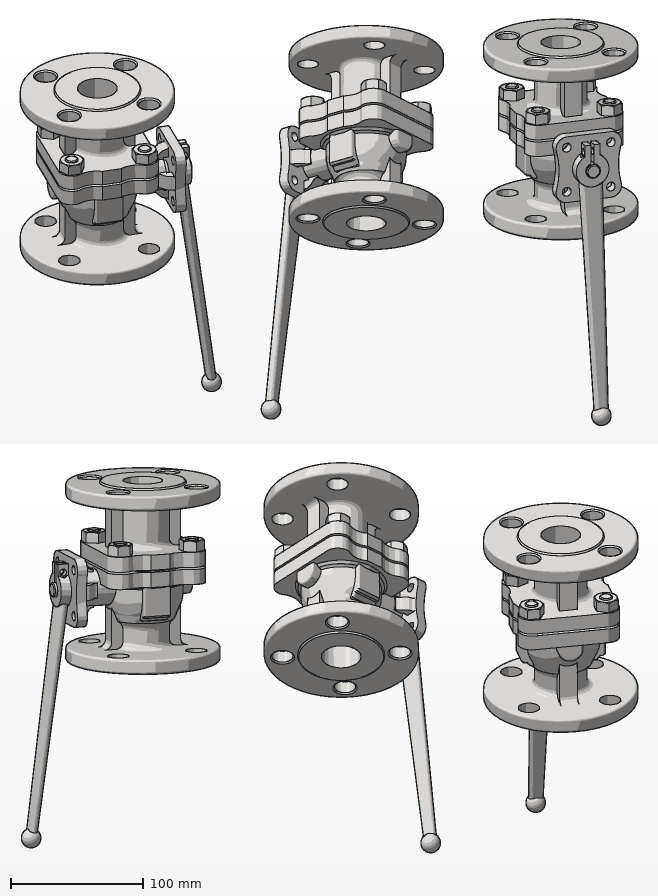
import cadquery as cq
import math

face_to_face = 140.0
bore_dia = 30.0
neck_radius = 20.0
neck_fillet = 5.5

flange_dia = 117.0
flange_thickness = 11.0
flange_edge_fillet = 2.0
raised_face_height = 1.5
raised_face_radius = 32.2
raised_face_base_radius = 33.0
pipe_bolt_circle = 89.0
pipe_bolt_hole_dia = 16.0
pipe_bolt_hole_chamfer = 1.0
flange_inner_z = raised_face_height + flange_thickness

joint_half_width = 39.0
joint_bolt_offset = 28.9
joint_lobe_radius = joint_half_width - joint_bolt_offset
lower_plate_bottom = 65.0
lower_plate_top = 76.5
upper_plate_bottom = 78.3
upper_plate_top = 90.0
joint_ring_radius = 34.5
scallop_outer_y = 25.3
scallop_inner_y = 7.5
scallop_depth = 2.5

stud_dia = 10.0
stud_top = 99.3
stud_chamfer = 0.8
nut_across_flats = 17.0
nut_top = 98.2
nut_corner_bevel = 0.8

bowl_radius = 30.5
bowl_center_z = 55.5
bowl_round_end_z = 40.0
bowl_heel = (25.3, 37.2)
bowl_waist_start = (24.0, 34.0)
bowl_waist_middle = (21.0, 31.4)
bowl_waist_end_z = 27.5
bowl_collar_radius = 34.7
bowl_collar_lip = 2.0
bowl_collar_fillet_bottom = 61.5
bowl_collar_fillet_middle = (31.4, 62.5)

rib_width = 14.0
rib_reach = 27.8
pad_reach = 32.5
pad_width = 21.6
pad_bottom = 39.7
pad_bevel = 1.7
pad_underside_inner = 28.5
pad_gusset_end = (25.5, 36.5)
pad_fillet = 1.5
boss_radius = 9.7
boss_reach = 37.2
boss_fillet = 1.7

stem_z = 60.5
stem_neck_dia = 28.5
stem_neck_start = 19.5
stem_neck_end = 50.5
collar_dia = 15.0
stem_dia = 11.0
stem_end = 73.5
stem_chamfer = 0.8
mount_plate_start = 54.5
mount_plate_end = 62.5
mount_half_width = 26.5
mount_bolt_offset = 17.8
mount_bolt_hole_dia = 7.0
mount_lobe_radius = mount_half_width - mount_bolt_offset
mount_waist_angle = math.radians(15)
bracket_width = 11.7

bracket_plate_height = 22.8
bracket_flare_middle = (53.8, 21.6)
bracket_flare_end = (52.5, 21.0)
bracket_shoulder_start = (50.5, 20.5)
bracket_shoulder_middle = (48.3, 19.1)
bracket_shoulder_end = (46.0, 16.6)
bracket_toe_middle = (44.5, 15.0)
bracket_toe = (42.0, 14.5)
bracket_root = 11.0

hub_dia = 26.5
hub_end = 70.8
lug_top = 81.0
lug_width = 12.2
clamp_slot_width = 2.5
clamp_hole_dia = 5.3
clamp_spotface_dia = 7.5
clamp_hole_z = 74.6
handle_thickness = 7.0
handle_top = (66.3, 50.8)
handle_top_width = 18.5
handle_end_width = 11.0
knob_dia = 15.0
knob_center = (90.2, -130.0)

hub_middle = (mount_plate_end + hub_end) / 2


def stem_cylinder(diameter, y_start, y_end):
    """Cylinder on the stem axis between two Y positions."""
    plane = cq.Plane(origin=(0, y_start, stem_z), xDir=(1, 0, 0), normal=(0, 1, 0))
    return cq.Workplane(plane).circle(diameter / 2).extrude(y_end - y_start)


def bar_along_x(profile, width):
    """Extrude a closed YZ profile symmetrically about the YZ plane."""
    return profile.extrude(width / 2, both=True)



def pipe_flange():
    """Lower pipe flange with rounded rim, raised face at z = 0 and countersunk bolt holes."""
    disc = (
        cq.Workplane("XY").workplane(offset=raised_face_height)
        .circle(flange_dia / 2).extrude(flange_thickness)
        .edges().fillet(flange_edge_fillet)
    )
    raised_face = (
        cq.Workplane("XZ")
        .polyline([
            (0, 0),
            (raised_face_radius, 0),
            (raised_face_base_radius, raised_face_height),
            (0, raised_face_height),
        ])
        .close().revolve(360, (0, 0, 0), (0, 1, 0))
    )
    return (
        disc.faces("<Z").workplane(origin=(0, 0, raised_face_height))
        .polarArray(pipe_bolt_circle / 2, 45, 360, 4)
        .cskHole(pipe_bolt_hole_dia, pipe_bolt_hole_dia + 2 * pipe_bolt_hole_chamfer, 90)
        .union(raised_face)
    )


def opposite_flange():
    """Upper pipe flange, the mirror image of the lower one."""
    return pipe_flange().mirror("XY").translate((0, 0, face_to_face))


def bowl_point(angle):
    """Point (radius, z) on the spherical bowl, at an angle below its equator."""
    return (
        bowl_radius * math.cos(angle),
        bowl_center_z - bowl_radius * math.sin(angle),
    )


def lower_shell():
    """Lower neck and ball chamber, revolved about the bore axis."""
    round_angle = math.asin((bowl_center_z - bowl_round_end_z) / bowl_radius)
    fillet_corner = neck_radius + neck_fillet
    fillet_middle = neck_fillet * (1 - math.sqrt(0.5))
    return (
        cq.Workplane("XZ")
        .moveTo(0, flange_inner_z)
        .lineTo(fillet_corner, flange_inner_z)
        .threePointArc(
            (neck_radius + fillet_middle, flange_inner_z + fillet_middle),
            (neck_radius, flange_inner_z + neck_fillet),
        )
        .lineTo(neck_radius, bowl_waist_end_z)
        .threePointArc(bowl_waist_middle, bowl_waist_start)
        .lineTo(*bowl_heel)
        .lineTo(*bowl_point(round_angle))
        .threePointArc(bowl_point(round_angle / 2), bowl_point(0))
        .lineTo(bowl_radius, bowl_collar_fillet_bottom)
        .threePointArc(
            bowl_collar_fillet_middle,
            (bowl_collar_radius - bowl_collar_lip, lower_plate_bottom - bowl_collar_lip),
        )
        .lineTo(bowl_collar_radius, lower_plate_bottom)
        .lineTo(0, lower_plate_bottom)
        .close().revolve(360, (0, 0, 0), (0, 1, 0))
    )


def upper_neck():
    """Upper neck, flared into both the joint plate and the upper flange."""
    top = face_to_face - flange_inner_z
    fillet_corner = neck_radius + neck_fillet
    fillet_middle = neck_fillet * (1 - math.sqrt(0.5))
    return (
        cq.Workplane("XZ")
        .moveTo(0, upper_plate_top)
        .lineTo(fillet_corner, upper_plate_top)
        .threePointArc(
            (neck_radius + fillet_middle, upper_plate_top + fillet_middle),
            (neck_radius, upper_plate_top + neck_fillet),
        )
        .lineTo(neck_radius, top - neck_fillet)
        .threePointArc(
            (neck_radius + fillet_middle, top - fillet_middle),
            (fillet_corner, top),
        )
        .lineTo(0, top)
        .close().revolve(360, (0, 0, 0), (0, 1, 0))
    )


def rib(z_flange, z_end):
    """Flat rib through the neck, flared where it meets a flange at z_flange."""
    toward_end = math.copysign(1, z_end - z_flange)
    flare_middle = neck_fillet * (1 - math.sqrt(0.5))
    z_flare = z_flange + toward_end * neck_fillet
    z_flare_middle = z_flange + toward_end * flare_middle
    foot = rib_reach + neck_fillet
    profile = (
        cq.Workplane("YZ")
        .moveTo(-foot, z_flange)
        .lineTo(foot, z_flange)
        .threePointArc((rib_reach + flare_middle, z_flare_middle), (rib_reach, z_flare))
        .lineTo(rib_reach, z_end)
        .lineTo(-rib_reach, z_end)
        .lineTo(-rib_reach, z_flare)
        .threePointArc((-rib_reach - flare_middle, z_flare_middle), (-foot, z_flange))
        .close()
    )
    return bar_along_x(profile, rib_width)


def joint_plate(z_bottom, z_top):
    """Square plate with round corners and two scallops in each X side."""
    half = joint_half_width
    bolt = joint_bolt_offset
    diagonal = bolt + joint_lobe_radius * math.sqrt(0.5)
    lobe_end_x = bolt + math.sqrt(joint_lobe_radius**2 - (bolt - scallop_outer_y) ** 2)
    scallop_x = lobe_end_x - scallop_depth
    scallop_y = (scallop_outer_y + scallop_inner_y) / 2
    return (
        cq.Workplane("XY").workplane(offset=z_bottom)
        .moveTo(-bolt, -half)
        .lineTo(bolt, -half)
        .threePointArc((diagonal, -diagonal), (lobe_end_x, -scallop_outer_y))
        .threePointArc((scallop_x, -scallop_y), (lobe_end_x, -scallop_inner_y))
        .lineTo(lobe_end_x, scallop_inner_y)
        .threePointArc((scallop_x, scallop_y), (lobe_end_x, scallop_outer_y))
        .threePointArc((diagonal, diagonal), (bolt, half))
        .lineTo(-bolt, half)
        .threePointArc((-diagonal, diagonal), (-lobe_end_x, scallop_outer_y))
        .threePointArc((-scallop_x, scallop_y), (-lobe_end_x, scallop_inner_y))
        .lineTo(-lobe_end_x, -scallop_inner_y)
        .threePointArc((-scallop_x, -scallop_y), (-lobe_end_x, -scallop_outer_y))
        .threePointArc((-diagonal, -diagonal), (-bolt, -half))
        .close().extrude(z_top - z_bottom)
    )


def joint_ring():
    """Round spacer that keeps the two joint plates apart."""
    return (
        cq.Workplane("XY").workplane(offset=lower_plate_top)
        .circle(joint_ring_radius).extrude(upper_plate_bottom - lower_plate_top)
    )


def nut_on_stud():
    """Hexagon nut with bevelled corners and a stud end, at one joint corner."""
    corner_radius = nut_across_flats / math.sqrt(3)
    nut_height = nut_top - upper_plate_top
    base = cq.Workplane("XY").workplane(offset=upper_plate_top)
    bevelled_blank = (
        base.circle(corner_radius).extrude(nut_height)
        .faces(">Z").edges().chamfer(nut_corner_bevel, corner_radius - nut_across_flats / 2)
    )
    nut = base.polygon(6, 2 * corner_radius).extrude(nut_height).intersect(bevelled_blank)
    stud = (
        base.circle(stud_dia / 2).extrude(stud_top - upper_plate_top)
        .faces(">Z").edges().chamfer(stud_chamfer)
    )
    return nut.union(stud).translate((joint_bolt_offset, joint_bolt_offset, 0))


def side_pads():
    """Flat-faced pads on both X sides of the ball chamber, joined through its middle."""
    gusset_x, gusset_z = pad_gusset_end
    return (
        cq.Workplane("XZ")
        .moveTo(-pad_reach, lower_plate_bottom)
        .lineTo(pad_reach, lower_plate_bottom)
        .lineTo(pad_reach, pad_bottom + pad_bevel)
        .lineTo(pad_reach - pad_bevel, pad_bottom)
        .lineTo(pad_underside_inner, pad_bottom)
        .lineTo(gusset_x, gusset_z)
        .lineTo(-gusset_x, gusset_z)
        .lineTo(-pad_underside_inner, pad_bottom)
        .lineTo(-pad_reach + pad_bevel, pad_bottom)
        .lineTo(-pad_reach, pad_bottom + pad_bevel)
        .close().extrude(pad_width / 2, both=True)
        .faces("<Y or >Y").edges("not >Z").fillet(pad_fillet)
    )


def front_boss():
    """U-shaped boss on the -Y side, running up into the lower joint plate."""
    plane = cq.Plane(origin=(0, 0, stem_z), xDir=(1, 0, 0), normal=(0, -1, 0))
    height = lower_plate_top - stem_z
    boss = (
        cq.Workplane(plane)
        .moveTo(boss_radius, 0)
        .lineTo(boss_radius, height)
        .lineTo(-boss_radius, height)
        .lineTo(-boss_radius, 0)
        .threePointArc((0, -boss_radius), (boss_radius, 0))
        .close().extrude(boss_reach)
    )
    return boss.faces("<Y").edges().fillet(boss_fillet)


def mount_plate():
    """Four-lobed lever plate with concave X sides and a bolt hole in each lobe."""
    half = mount_half_width
    bolt = mount_bolt_offset
    diagonal = bolt + mount_lobe_radius * math.sqrt(0.5)
    lobe_end_x = bolt + mount_lobe_radius * math.cos(mount_waist_angle)
    lobe_end_z = bolt - mount_lobe_radius * math.sin(mount_waist_angle)
    waist_x = lobe_end_x - lobe_end_z * math.tan(mount_waist_angle / 2)
    plane = cq.Plane(origin=(0, mount_plate_start, stem_z), xDir=(-1, 0, 0), normal=(0, 1, 0))
    return (
        cq.Workplane(plane)
        .moveTo(-bolt, -half)
        .lineTo(bolt, -half)
        .threePointArc((diagonal, -diagonal), (lobe_end_x, -lobe_end_z))
        .threePointArc((waist_x, 0), (lobe_end_x, lobe_end_z))
        .threePointArc((diagonal, diagonal), (bolt, half))
        .lineTo(-bolt, half)
        .threePointArc((-diagonal, diagonal), (-lobe_end_x, lobe_end_z))
        .threePointArc((-waist_x, 0), (-lobe_end_x, -lobe_end_z))
        .threePointArc((-diagonal, -diagonal), (-bolt, -half))
        .close().extrude(mount_plate_end - mount_plate_start)
        .faces(">Y").workplane(origin=(0, 0, stem_z))
        .rect(2 * bolt, 2 * bolt, forConstruction=True).vertices()
        .hole(mount_bolt_hole_dia)
    )


def bracket_arm():
    """S-curved arm from the stem neck up to the back of the mounting plate."""
    neck = stem_neck_dia / 2
    profile = (
        cq.Workplane("YZ", origin=(0, 0, stem_z))
        .moveTo(mount_plate_start, neck)
        .lineTo(mount_plate_start, bracket_plate_height)
        .threePointArc(bracket_flare_middle, bracket_flare_end)
        .lineTo(*bracket_shoulder_start)
        .threePointArc(bracket_shoulder_middle, bracket_shoulder_end)
        .threePointArc(bracket_toe_middle, bracket_toe)
        .lineTo(bracket_toe[0], bracket_root)
        .lineTo(stem_neck_end, bracket_root)
        .lineTo(stem_neck_end, neck)
        .close()
    )
    return bar_along_x(profile, bracket_width)


def stem():
    """Stem neck, collar and the slimmer stem end that carries the lever."""
    stem_tip = stem_cylinder(stem_dia, stem_neck_start, stem_end)
    return (
        stem_tip.faces(">Y").edges().chamfer(stem_chamfer)
        .union(stem_cylinder(stem_neck_dia, stem_neck_start, stem_neck_end))
        .union(stem_cylinder(collar_dia, stem_neck_start, mount_plate_start))
    )


def make_valve_body():
    """Complete valve housing with its bore."""
    body = (
        pipe_flange()
        .union(opposite_flange())
        .union(lower_shell())
        .union(joint_plate(lower_plate_bottom, lower_plate_top))
        .union(joint_ring())
        .union(joint_plate(upper_plate_bottom, upper_plate_top))
        .union(upper_neck())
        .union(rib(flange_inner_z, bowl_center_z))
        .union(rib(face_to_face - flange_inner_z, upper_plate_top))
        .union(side_pads())
        .union(front_boss())
        .union(stem())
        .union(mount_plate())
    )
    for quarter in range(4):
        turn = 90 * quarter
        body = body.union(nut_on_stud().rotate((0, 0, 0), (0, 0, 1), turn))
        body = body.union(bracket_arm().rotate((0, 0, stem_z), (0, 1, stem_z), turn))
    bore = cq.Workplane("XY").circle(bore_dia / 2).extrude(face_to_face)
    return body.cut(bore)



def lever_hub():
    """Clamping hub with a split lug, bored to fit the stem end."""
    length = hub_end - mount_plate_end
    lug_height = lug_top - stem_z
    lug = (
        cq.Workplane("XY", origin=(0, hub_middle, stem_z))
        .rect(lug_width, length).extrude(lug_height)
    )
    slot = (
        cq.Workplane("XY", origin=(0, hub_middle, stem_z))
        .rect(clamp_slot_width, length).extrude(lug_height)
    )
    clamp_axis = cq.Workplane("YZ", origin=(0, hub_middle, clamp_hole_z))
    clamp_hole = clamp_axis.circle(clamp_hole_dia / 2).extrude(hub_dia / 2, both=True)
    spotfaces = (
        clamp_axis.circle(clamp_spotface_dia / 2).extrude(hub_dia / 2, both=True)
        .cut(lug)
    )
    return (
        stem_cylinder(hub_dia, mount_plate_end, hub_end)
        .union(lug)
        .cut(slot)
        .cut(clamp_hole)
        .cut(spotfaces)
        .cut(stem_cylinder(stem_dia, mount_plate_end, hub_end))
    )


def handle():
    """Tapered bar with rounded sides, leaning outward down to the knob."""
    top_y, top_z = handle_top
    knob_y, knob_z = knob_center
    run = (0, knob_y - top_y, knob_z - top_z)
    length = math.hypot(run[1], run[2])
    plane = cq.Plane(origin=(0, top_y, top_z), xDir=(1, 0, 0), normal=run)
    return (
        cq.Workplane(plane)
        .slot2D(handle_top_width, handle_thickness)
        .workplane(offset=length)
        .slot2D(handle_end_width, handle_thickness)
        .loft(ruled=True)
    )


def knob():
    """Ball at the free end of the handle."""
    return cq.Workplane("XY").sphere(knob_dia / 2).translate((0, *knob_center))


def make_lever():
    """Complete lever."""
    return lever_hub().union(handle()).union(knob())


valve_body = make_valve_body()
lever = make_lever()

result = cq.Compound.makeCompound([valve_body.val(), lever.val()])